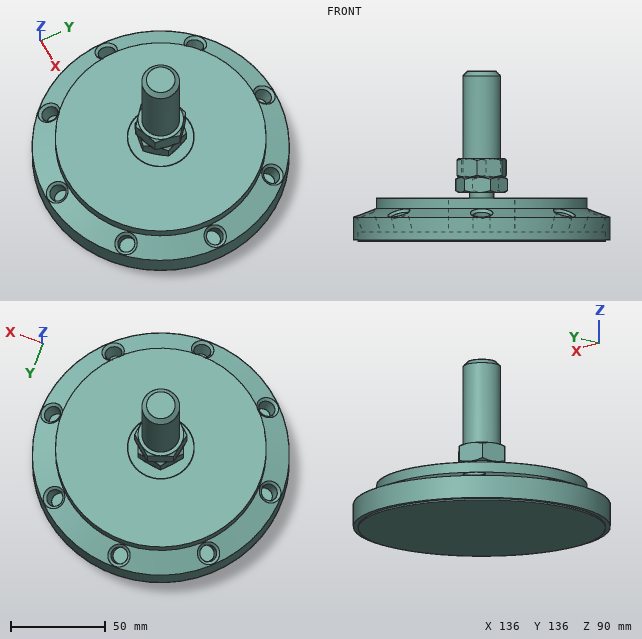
import cadquery as cq
import math

HOUSING_DIA = 136.0
BOSS_DIA = 111.5
HOUSING_BOTTOM = 0.8
SHOULDER_BOTTOM = 12.8
SHOULDER_TOP = 17.4
HOUSING_TOP = 23.0

PAD_DIA = 131.0
PAD_TOP = 4.9

INSERT_BORE_DIA = 35.4
INSERT_DIA = 35.0

HOLE_COUNT = 8
HOLE_DIA = 9.0
COUNTERSINK_DIA = 12.1
COUNTERSINK_DEPTH = 1.4
TOOL_CLEARANCE = 1.4
SHOULDER_ANGLE = math.atan2(SHOULDER_TOP - SHOULDER_BOTTOM, (HOUSING_DIA - BOSS_DIA) / 2)
HOLE_RADIUS = (HOUSING_DIA + BOSS_DIA) / 4
HOLE_HEIGHT = (SHOULDER_BOTTOM + SHOULDER_TOP) / 2

NECK_DIA = 13.0
STUD_DIA = 20.0
STUD_TOP = 90.0
STUD_CHAMFER = 2.5
HEX_ACROSS_FLATS = 24.1
HEX_BEVEL_ANGLE = math.radians(30)
HEX_BOTTOM = 25.8
NUT_BOTTOM = 34.0
NUT_TOP = 43.9
STUD_HEX_TURN = -10.0
NUT_TURN = 20.0


def cylinder(diameter, bottom, top):
    """Upright cylinder on the Z axis."""
    return cq.Workplane("XY").workplane(offset=bottom).circle(diameter / 2).extrude(top - bottom)


def hexagon(bottom, top, turn):
    """Hexagonal prism with the corners bevelled conically at both ends."""
    corner_dia = HEX_ACROSS_FLATS / math.cos(math.pi / 6)
    flat_radius = HEX_ACROSS_FLATS / 2
    corner_radius = corner_dia / 2
    bevel_height = (corner_radius - flat_radius) * math.tan(HEX_BEVEL_ANGLE)
    prism = cq.Workplane("XY").workplane(offset=bottom).polygon(6, corner_dia).extrude(top - bottom)
    envelope = (
        cq.Workplane("XZ")
        .moveTo(0, bottom)
        .lineTo(flat_radius, bottom)
        .lineTo(corner_radius, bottom + bevel_height)
        .lineTo(corner_radius, top - bevel_height)
        .lineTo(flat_radius, top)
        .lineTo(0, top)
        .close()
        .revolve(360, (0, 0), (0, 1))
    )
    return prism.intersect(envelope).rotate((0, 0, 0), (0, 0, 1), turn)


def shoulder_hole_cutter():
    """Countersunk hole on the +X side, running down and inward to the pad."""
    axis = cq.Vector(math.sin(SHOULDER_ANGLE), 0, math.cos(SHOULDER_ANGLE))
    mouth = cq.Plane(origin=(HOLE_RADIUS, 0, HOLE_HEIGHT), xDir=(0, 1, 0), normal=axis)
    countersink_radius = COUNTERSINK_DIA / 2
    profile = (
        cq.Workplane("XY")
        .moveTo(0, -HOUSING_TOP)
        .lineTo(HOLE_DIA / 2, -HOUSING_TOP)
        .lineTo(HOLE_DIA / 2, -COUNTERSINK_DEPTH)
        .lineTo(countersink_radius, 0)
        .lineTo(countersink_radius, TOOL_CLEARANCE)
        .lineTo(0, TOOL_CLEARANCE)
        .close()
    )
    cutter = profile.revolve(360, (0, 0), (0, 1)).rotate((0, 0, 0), (1, 0, 0), 90)
    return cq.Workplane(cutter.val().moved(cq.Location(mouth)))


def make_housing():
    body = (
        cq.Workplane("XZ")
        .moveTo(0, HOUSING_BOTTOM)
        .lineTo(HOUSING_DIA / 2, HOUSING_BOTTOM)
        .lineTo(HOUSING_DIA / 2, SHOULDER_BOTTOM)
        .lineTo(BOSS_DIA / 2, SHOULDER_TOP)
        .lineTo(BOSS_DIA / 2, HOUSING_TOP)
        .lineTo(0, HOUSING_TOP)
        .close()
        .revolve(360, (0, 0), (0, 1))
    )
    body = body.cut(cylinder(PAD_DIA, HOUSING_BOTTOM, PAD_TOP))
    body = body.cut(cylinder(INSERT_BORE_DIA, PAD_TOP, HOUSING_TOP))
    cutter = shoulder_hole_cutter()
    for index in range(HOLE_COUNT):
        body = body.cut(cutter.rotate((0, 0, 0), (0, 0, 1), index * 360 / HOLE_COUNT))
    return body


def make_stud():
    neck = cylinder(NECK_DIA, HOUSING_TOP, HEX_BOTTOM)
    fixed_hex = hexagon(HEX_BOTTOM, NUT_BOTTOM, STUD_HEX_TURN)
    shank = cylinder(STUD_DIA, NUT_BOTTOM, STUD_TOP).faces(">Z").chamfer(STUD_CHAMFER)
    return neck.union(fixed_hex).union(shank)


def make_nut():
    return hexagon(NUT_BOTTOM, NUT_TOP, NUT_TURN).cut(cylinder(STUD_DIA, NUT_BOTTOM, NUT_TOP))


housing = make_housing()
pad = cylinder(PAD_DIA, 0, PAD_TOP)
insert = cylinder(INSERT_DIA, PAD_TOP, HOUSING_TOP)
stud = make_stud()
lock_nut = make_nut()

result = cq.Compound.makeCompound(
    [housing.val(), pad.val(), insert.val(), stud.val(), lock_nut.val()]
)